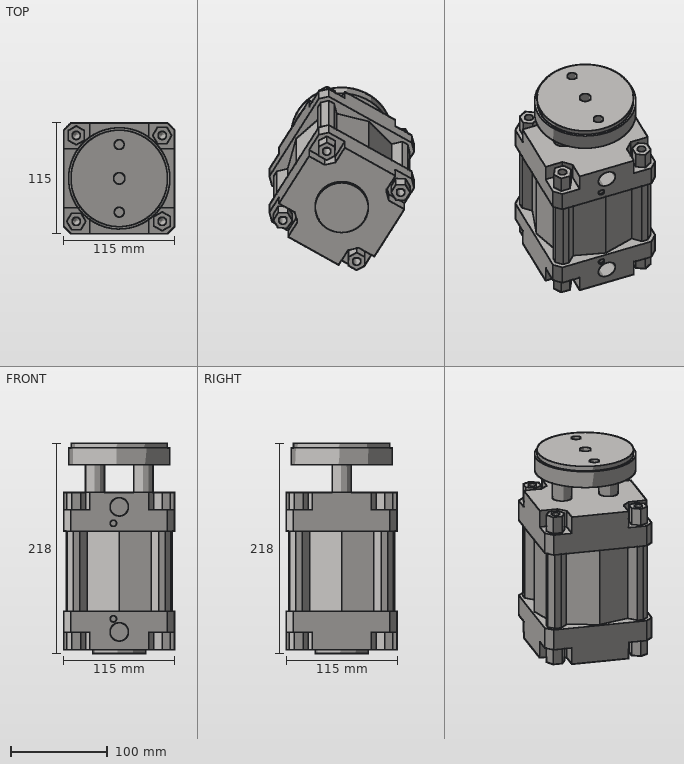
import cadquery as cq
import math

cap_width = 115.0
cap_edge_chamfer = 7.5
cap_height = 40.0
barrel_length = 83.0
spigot_diameter = 55.0
spigot_height = 4.0

recess_size = 27.0
recess_depth = 18.0
recess_inner_chamfer = 8.0
nut_spacing = 89.0
nut_across_flats = 17.0
nut_hole_diameter = 8.5
nut_hole_depth = 20.0
drill_point_angle = 118.0

barrel_ridge = 55.0
lobe_face = 53.6
lobe_chamfer = 6.0
lobe_flat = 6.5
groove_half_width = 33.0

port_diameter = 19.0
port_depth = 20.0
bottom_port_from_end = 18.5
top_port_from_end = 15.0
screw_hole_diameter = 6.5
screw_hole_depth = 1.5
screw_hole_offset = -6.0
screw_hole_from_barrel = 8.0

rod_diameter = 20.0
rod_spacing = 50.0
rod_length = 28.5
plate_diameter = 105.0
plate_thickness = 17.5
raised_face_diameter = 100.0
raised_face_height = 5.0
center_hole_diameter = 11.84
side_hole_diameter = 10.11
side_hole_spacing = 70.0

bottom_cap_z = spigot_height
barrel_z = bottom_cap_z + cap_height
top_cap_z = barrel_z + barrel_length
housing_top_z = top_cap_z + cap_height
plate_z = housing_top_z + rod_length
mid_z = (bottom_cap_z + housing_top_z) / 2

corner_signs = [(sx, sy) for sx in (-1, 1) for sy in (-1, 1)]


def cylinder(diameter, height, x, y, z):
    return cq.Workplane("XY", origin=(x, y, z)).circle(diameter / 2).extrude(height)


def corner_recess(sx, sy):
    """Open corner pocket in the top of a cap, with a chamfered inner corner."""
    outer = cap_width / 2
    inner = outer - recess_size
    outline = [
        (sx * outer, sy * outer),
        (sx * outer, sy * inner),
        (sx * (inner + recess_inner_chamfer), sy * inner),
        (sx * inner, sy * (inner + recess_inner_chamfer)),
        (sx * inner, sy * outer),
    ]
    floor = cq.Workplane("XY", origin=(0, 0, housing_top_z - recess_depth))
    return floor.polyline(outline).close().extrude(recess_depth)


def nut(sx, sy):
    """Hexagonal nut standing in a corner recess; neighbouring nuts are turned by 90 degrees."""
    turn = 0 if sx == sy else 90
    across_corners = nut_across_flats / math.cos(math.pi / 6)
    hexagon = cq.Workplane("XY").polygon(6, across_corners).extrude(recess_depth)
    hexagon = hexagon.rotate((0, 0, 0), (0, 0, 1), turn)
    center = (sx * nut_spacing / 2, sy * nut_spacing / 2, housing_top_z - recess_depth)
    return hexagon.translate(center)


def nut_hole(sx, sy):
    """Blind hole with a conical drill point, from the top face of a nut."""
    radius = nut_hole_diameter / 2
    point_depth = radius / math.tan(math.radians(drill_point_angle / 2))
    profile = [
        (0, 0),
        (radius, 0),
        (radius, -nut_hole_depth),
        (0, -nut_hole_depth - point_depth),
    ]
    hole = cq.Workplane("XZ").polyline(profile).close().revolve(360, (0, 0), (0, 1))
    return hole.translate((sx * nut_spacing / 2, sy * nut_spacing / 2, housing_top_z))


def front_hole(diameter, depth, x, z):
    """Blind round hole going in from the -Y face."""
    start = cq.Workplane("XZ", origin=(x, -cap_width / 2, z))
    return start.circle(diameter / 2).extrude(-depth)


def make_cap():
    """End cap as it sits on top of the barrel, without its air port."""
    cap = cq.Workplane("XY", origin=(0, 0, top_cap_z)).rect(cap_width, cap_width).extrude(cap_height)
    cap = cap.edges("|Z").chamfer(cap_edge_chamfer)
    for sx, sy in corner_signs:
        cap = cap.cut(corner_recess(sx, sy))
        cap = cap.union(nut(sx, sy))
        cap = cap.cut(nut_hole(sx, sy))
    screw_z = top_cap_z + screw_hole_from_barrel
    return cap.cut(front_hole(screw_hole_diameter, screw_hole_depth, screw_hole_offset, screw_z))


def make_barrel():
    """Extruded profile: four ridged sides, each ending in a groove beside a chamfered corner lobe."""
    lobe_end = lobe_face - lobe_chamfer
    lobe_start = lobe_end - lobe_flat
    groove_bottom = lobe_face - (lobe_start - groove_half_width)
    side = [
        (-lobe_end, -lobe_face),
        (-lobe_start, -lobe_face),
        (-groove_half_width, -groove_bottom),
        (0, -barrel_ridge),
        (groove_half_width, -groove_bottom),
        (lobe_start, -lobe_face),
        (lobe_end, -lobe_face),
    ]
    outline = []
    for _ in range(4):
        outline.extend(side)
        side = [(-y, x) for x, y in side]
    return cq.Workplane("XY", origin=(0, 0, barrel_z)).polyline(outline).close().extrude(barrel_length)


def make_housing():
    top_cap = make_cap()
    bottom_cap = top_cap.mirror("XY", (0, 0, mid_z))
    top_cap = top_cap.cut(front_hole(port_diameter, port_depth, 0, housing_top_z - top_port_from_end))
    bottom_cap = bottom_cap.cut(front_hole(port_diameter, port_depth, 0, bottom_cap_z + bottom_port_from_end))
    spigot = cylinder(spigot_diameter, spigot_height, 0, 0, 0)
    return make_barrel().union(top_cap).union(bottom_cap).union(spigot)


def make_moving_plate():
    """Round plate on two rods that stand on the top face of the housing."""
    plate = cylinder(plate_diameter, plate_thickness, 0, 0, plate_z)
    raised_z = plate_z + plate_thickness
    plate = plate.union(cylinder(raised_face_diameter, raised_face_height, 0, 0, raised_z))
    total_thickness = plate_thickness + raised_face_height
    plate = plate.cut(cylinder(center_hole_diameter, total_thickness, 0, 0, plate_z))
    for side in (-1, 1):
        hole_y = side * side_hole_spacing / 2
        plate = plate.cut(cylinder(side_hole_diameter, total_thickness, 0, hole_y, plate_z))
        rod_x = side * rod_spacing / 2
        plate = plate.union(cylinder(rod_diameter, rod_length, rod_x, 0, housing_top_z))
    return plate


housing = make_housing()
moving_plate = make_moving_plate()

result = cq.Compound.makeCompound([housing.val(), moving_plate.val()])